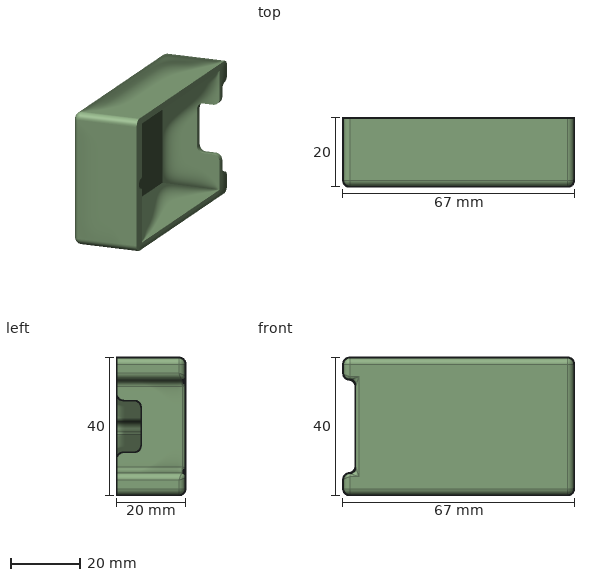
import cadquery as cq
import math

length = 67.0
depth = 20.0
height = 40.0
outer_radius = 2.0

wall = 2.0
end_wall = 4.0

recess_depth = 3.55
recess_height = 26.95
recess_edge_radius = 1.0
recess_corner_radius = 1.8

notch_height = 15.0
notch_depth = 7.1
notch_radius = 2.0

groove_radius = 1.5
groove_lip_radius = 0.8

closed_y = -depth / 2
open_y = depth / 2
cavity_start_x = recess_depth + wall
cavity_end_x = length - end_wall
cavity_depth = depth - wall
diagonal = math.sqrt(0.5)
pick_margin = 0.35


def edges_in_box(body, low, high):
    """Pick the edges whose centres lie inside the box."""
    return body.edges(cq.selectors.BoxSelector(low, high))


def round_recess_edges(body):
    """Round the edges where the recess meets the closed -Y face."""
    reach = recess_height / 2 + pick_margin
    low = (pick_margin, closed_y - pick_margin, -reach)
    high = (recess_depth + pick_margin, closed_y + pick_margin, reach)
    return edges_in_box(body, low, high).fillet(recess_edge_radius)


def round_outer_edges(body):
    """Round the convex edges of both X ends and of the closed face; the +Y rim stays sharp."""
    end_edges = body.faces("<X or >X").edges("|Y or <Y")
    closed_face_edges = body.faces("<Y").edges("<Z or >Z")
    return end_edges.add(closed_face_edges).fillet(outer_radius)


def round_recess_corners(body):
    """Round the two inner corners of the recess, which run along Y."""
    for side in (-1, 1):
        corner_z = side * recess_height / 2
        low = (recess_depth - pick_margin, closed_y, corner_z - pick_margin)
        high = (recess_depth + pick_margin, open_y, corner_z + pick_margin)
        body = edges_in_box(body.edges("|Y"), low, high).fillet(recess_corner_radius)
    return body


def make_body():
    """Make the solid outer form. Each rounding builds on the one before it."""
    block = cq.Workplane("XY").box(length, depth, height).translate((length / 2, 0, 0))
    recess = cq.Workplane("XY").box(2 * recess_depth, depth, recess_height)
    body = block.cut(recess)
    body = round_recess_edges(body)
    body = round_outer_edges(body)
    return round_recess_corners(body)


def make_cavity():
    """Make the rectangular room inside the walls, open at +Y."""
    room = cq.Workplane("XY").box(cavity_end_x - cavity_start_x, cavity_depth, height - 2 * wall)
    return room.translate(((cavity_start_x + cavity_end_x) / 2, open_y - cavity_depth / 2, 0))


def make_notch():
    """Make the notch cutter: rounded bottom corners and a mouth that flares out at +Y."""
    half = notch_height / 2
    bottom_y = open_y - notch_depth
    radius = notch_radius
    inset = radius * (1 - diagonal)
    profile = (
        cq.Workplane("YZ")
        .moveTo(open_y, half + radius)
        .threePointArc((open_y - inset, half + inset), (open_y - radius, half))
        .lineTo(bottom_y + radius, half)
        .threePointArc((bottom_y + inset, half - inset), (bottom_y, half - radius))
        .lineTo(bottom_y, -half + radius)
        .threePointArc((bottom_y + inset, -half + inset), (bottom_y + radius, -half))
        .lineTo(open_y - radius, -half)
        .threePointArc((open_y - inset, -half - inset), (open_y, -half - radius))
        .close()
    )
    return profile.extrude(cavity_start_x)


def make_groove():
    """Make the groove cutter: a half-round channel between two rounded lips."""
    lip = groove_lip_radius
    lip_inset = lip * (1 - diagonal)
    mouth_half = groove_radius + lip
    centre_x = cavity_end_x + lip
    profile = (
        cq.Workplane("XZ", origin=(0, open_y, 0))
        .moveTo(cavity_end_x, mouth_half)
        .threePointArc((cavity_end_x + lip_inset, groove_radius + lip_inset), (centre_x, groove_radius))
        .threePointArc((centre_x + groove_radius, 0), (centre_x, -groove_radius))
        .threePointArc((cavity_end_x + lip_inset, -groove_radius - lip_inset), (cavity_end_x, -mouth_half))
        .close()
    )
    return profile.extrude(cavity_depth)


result = make_body().cut(make_cavity()).cut(make_notch()).cut(make_groove())